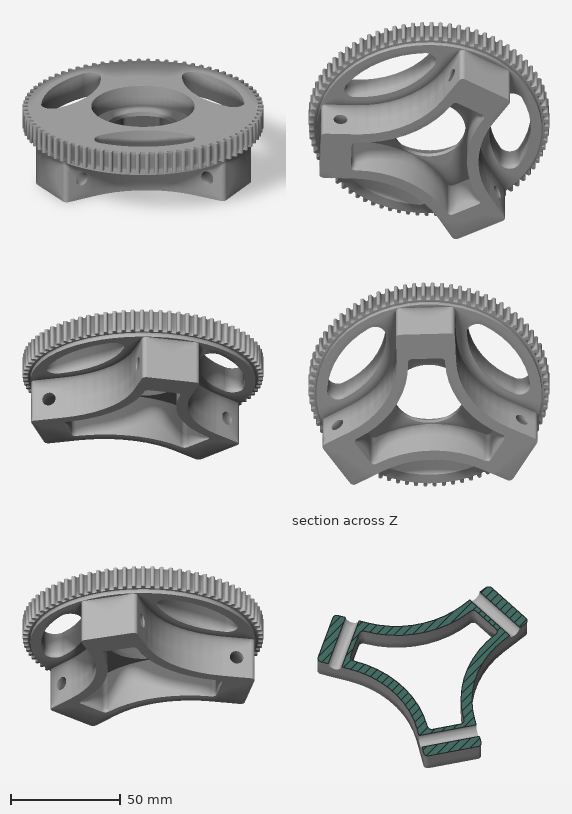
import cadquery as cq
import math

hub_height = 20.0
flange_height = 2.0
gear_height = 10.0
flange_top = hub_height + flange_height

tooth_count = 80
tip_radius = 55.0
tooth_depth = 2.4
gap_half_width = 1.2
tip_round = 0.9
root_round = 0.7

flange_diameter = 103.0
bearing_seat_diameter = 47.3
bore_diameter = 33.3
screw_diameter = 6.3

arm_count = 3
first_arm_angle = 30.0
arm_reach = 49.7
arm_half_width = 13.5
arm_flank_start = 34.0
cavity_reach = 35.5
cavity_half_width = 8.5
cavity_flank_start = 33.2
corner_radius = 2.0
screw_reach = 40.9

window_wall = 5.0
window_corner_radius = 5.0


def side_arc(flank_start, half_width):
    """Centre distance and radius of the arc tangent to the facing flanks of two neighbouring arms."""
    half_spacing = math.radians(180 / arm_count)
    center_distance = flank_start / math.cos(half_spacing)
    radius = flank_start * math.tan(half_spacing) - half_width
    return center_distance, radius


def polar(radius, angle, offset=0.0):
    """Point at a distance along a direction in degrees, shifted sideways to its left."""
    a = math.radians(angle)
    x = radius * math.cos(a) - offset * math.sin(a)
    y = radius * math.sin(a) + offset * math.cos(a)
    return (x, y)


def arm_angle(index):
    return first_arm_angle + index * 360 / arm_count


def side_angle(index):
    return arm_angle(index) + 180 / arm_count


def toothed_disc():
    """Disc with equal rounded teeth and a tooth gap centred on +X."""
    root_radius = tip_radius - tooth_depth
    pitch_angle = 360 / tooth_count
    diagonal = math.sqrt(0.5)
    tip_center = (tip_radius - tip_round, gap_half_width + tip_round)
    root_center = (root_radius + root_round, gap_half_width - root_round)
    floor_end = (root_radius, root_center[1])
    root_middle = (root_center[0] - root_round * diagonal, root_center[1] + root_round * diagonal)
    wall_start = (root_center[0], gap_half_width)
    wall_end = (tip_center[0], gap_half_width)
    tip_middle = (tip_center[0] + tip_round * diagonal, tip_center[1] - tip_round * diagonal)
    tip_start = (tip_radius, tip_center[1])

    def left(point, angle):
        return polar(point[0], angle, point[1])

    def right(point, angle):
        return polar(point[0], angle, -point[1])

    outline = cq.Workplane("XY").workplane(offset=flange_top).moveTo(*right(floor_end, 0))
    for i in range(tooth_count):
        here = i * pitch_angle
        following = here + pitch_angle
        outline = outline.lineTo(*left(floor_end, here))
        outline = outline.threePointArc(left(root_middle, here), left(wall_start, here))
        outline = outline.lineTo(*left(wall_end, here))
        outline = outline.threePointArc(left(tip_middle, here), left(tip_start, here))
        outline = outline.lineTo(*right(tip_start, following))
        outline = outline.threePointArc(right(tip_middle, following), right(wall_end, following))
        outline = outline.lineTo(*right(wall_start, following))
        outline = outline.threePointArc(right(root_middle, following), right(floor_end, following))
    return outline.close().extrude(gear_height)


def three_armed_prism(reach, half_width, flank_start):
    """Prism with round-cornered arms joined by concave sides."""
    center_distance, radius = side_arc(flank_start, half_width)
    nearest = center_distance - radius
    round_start = reach - corner_radius
    end_half_width = half_width - corner_radius
    bulge = corner_radius * math.sqrt(0.5)

    outline = cq.Workplane("XY").moveTo(*polar(flank_start, arm_angle(0), -half_width))
    for i in range(arm_count):
        angle = arm_angle(i)
        outline = outline.lineTo(*polar(round_start, angle, -half_width))
        outline = outline.threePointArc(
            polar(round_start + bulge, angle, -end_half_width - bulge),
            polar(reach, angle, -end_half_width),
        )
        outline = outline.lineTo(*polar(reach, angle, end_half_width))
        outline = outline.threePointArc(
            polar(round_start + bulge, angle, end_half_width + bulge),
            polar(round_start, angle, half_width),
        )
        outline = outline.lineTo(*polar(flank_start, angle, half_width))
        outline = outline.threePointArc(
            polar(nearest, side_angle(i)),
            polar(flank_start, arm_angle(i + 1), -half_width),
        )
    return outline.close().extrude(hub_height)


def cylinder(diameter, bottom, height):
    return cq.Workplane("XY").workplane(offset=bottom).circle(diameter / 2).extrude(height)


def window(index):
    """Lens between the flange rim and a concave hub side, a wall away from both."""
    height = flange_height + gear_height
    center_distance, radius = side_arc(arm_flank_start, arm_half_width)
    center = polar(center_distance, side_angle(index))
    rim_disc = cylinder(flange_diameter - 2 * window_wall, hub_height, height)
    side_disc = cylinder(2 * (radius - window_wall), hub_height, height).translate((*center, 0))
    lens = rim_disc.intersect(side_disc)
    return lens.edges("|Z").fillet(window_corner_radius)


def screw_hole(index):
    """Hole straight across an arm, from one flank to the other."""
    hole = (
        cq.Workplane("XZ")
        .center(screw_reach, hub_height / 2)
        .circle(screw_diameter / 2)
        .extrude(arm_half_width, both=True)
    )
    return hole.rotate((0, 0, 0), (0, 0, 1), arm_angle(index))


result = three_armed_prism(arm_reach, arm_half_width, arm_flank_start)
result = result.cut(three_armed_prism(cavity_reach, cavity_half_width, cavity_flank_start))
result = result.union(cylinder(flange_diameter, hub_height, flange_height))
result = result.union(toothed_disc())
result = result.cut(cylinder(bore_diameter, hub_height, flange_height))
result = result.cut(cylinder(bearing_seat_diameter, flange_top, gear_height))
for arm in range(arm_count):
    result = result.cut(window(arm))
    result = result.cut(screw_hole(arm))